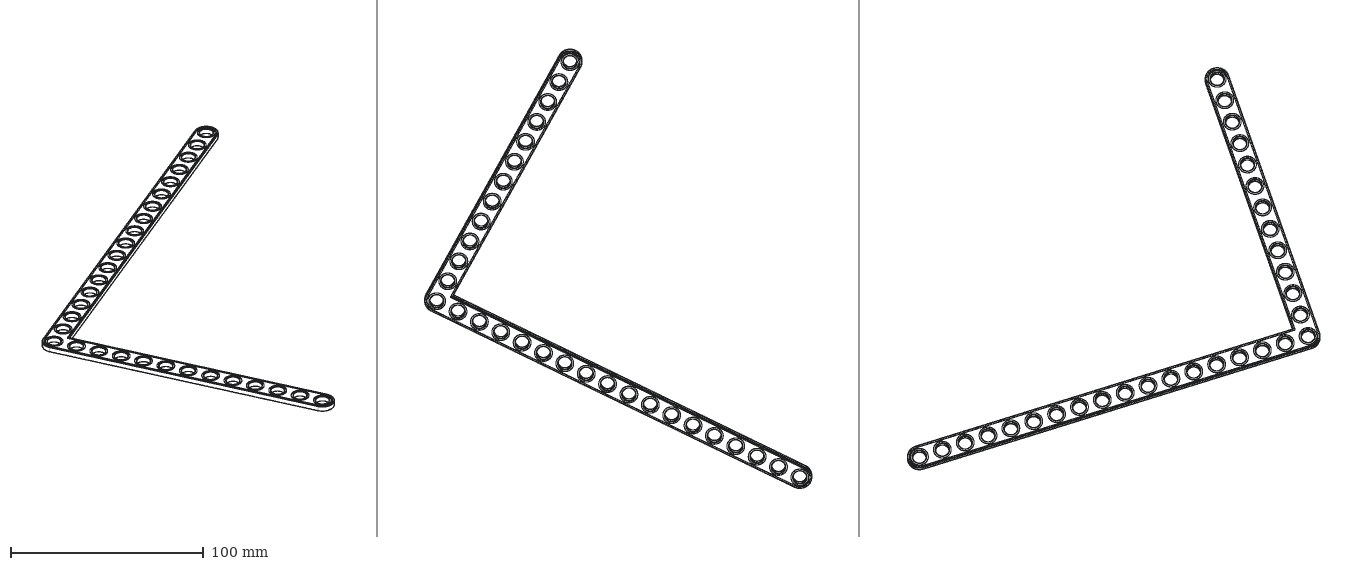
import cadquery as cq

LONG_ARM_HOLES = 18
SHORT_ARM_HOLES = 13
LONG_ARM_LENGTH = 225.0
THICKNESS = 3.2
HOLE_DIAMETER = 7.0
RING_DIAMETER = 9.2
RIM_WIDTH = 1.0
RECESS_DEPTH = 0.25
EDGE_CHAMFER = 0.3

PITCH = LONG_ARM_LENGTH / LONG_ARM_HOLES
ARM_WIDTH = PITCH
LONG_SPAN = (LONG_ARM_HOLES - 1) * PITCH
SHORT_SPAN = (SHORT_ARM_HOLES - 1) * PITCH

HOLE_CENTRES = [(0, i * PITCH) for i in range(LONG_ARM_HOLES)]
HOLE_CENTRES += [(i * PITCH, 0) for i in range(1, SHORT_ARM_HOLES)]


def round_ended_bar(span, width, height):
    """Bar along X with full-round ends centred on x = 0 and x = span."""
    return (
        cq.Workplane("XY")
        .center(span / 2, 0)
        .slot2D(span + width, width)
        .extrude(height)
    )


def l_strip(width, height):
    """Two round-ended bars along +X and +Y, sharing the rounded corner at the origin."""
    short_arm = round_ended_bar(SHORT_SPAN, width, height)
    long_arm = round_ended_bar(LONG_SPAN, width, height).rotate((0, 0, 0), (0, 0, 1), 90)
    return short_arm.union(long_arm).clean()


def hole_pillars(diameter, height):
    """One cylinder at every hole centre."""
    return cq.Workplane("XY").pushPoints(HOLE_CENTRES).circle(diameter / 2).extrude(height)


strip = l_strip(ARM_WIDTH, THICKNESS).cut(hole_pillars(HOLE_DIAMETER, THICKNESS))
strip = strip.faces("|Z").edges().chamfer(EDGE_CHAMFER)

panel_width = ARM_WIDTH - 2 * RIM_WIDTH
panel = l_strip(panel_width, RECESS_DEPTH).cut(hole_pillars(RING_DIAMETER, RECESS_DEPTH))
top_panel = panel.translate((0, 0, THICKNESS - RECESS_DEPTH))
result = strip.cut(top_panel).cut(panel)